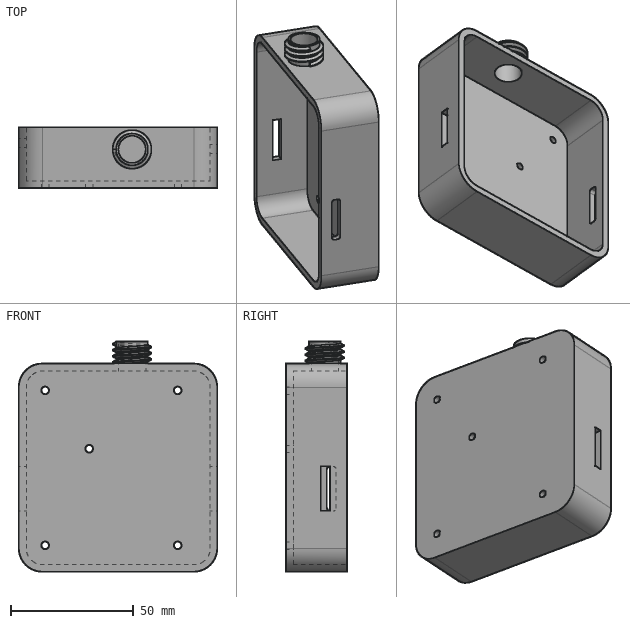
import cadquery as cq

WIDTH = 81.3
DEPTH = 25.0
OVERALL_HEIGHT = 94.3
NECK_HEIGHT = 9.05
BOX_HEIGHT = OVERALL_HEIGHT - NECK_HEIGHT
CORNER_RADIUS = 9.7
WALL = 3.0

HOLE_DIAMETER = 3.0
HOLE_INSET = 10.8
HOLE_SPACING_X = 54.2
HOLE_SPACING_Z = 63.4
EXTRA_HOLE_INSET = 28.85
EXTRA_HOLE_Z = 50.3

SLOT_WIDTH = 3.7
SLOT_BOTTOM = 25.0
SLOT_HEIGHT = 18.2
SLOT_CORNER_RADIUS = 1.2
SLOT_BACK_INSET = 4.5
OPENING_BACK_INSET = 7.1

NECK_X = 5.75
NECK_BACK_INSET = 9.1
NECK_Y = DEPTH - NECK_BACK_INSET
NECK_RADIUS = 6.5
BORE_RADIUS = 5.6
THREAD_RADIUS = 7.9
THREAD_HEIGHT = 7.45
THREAD_TURNS = 3
THREAD_PITCH = THREAD_HEIGHT / THREAD_TURNS
THREAD_ROOT_WIDTH = 2.1
THREAD_CREST_WIDTH = 0.3
THREAD_START = 0.5
THREAD_EMBED = 0.2


def rounded_block(width, depth, height, radius):
    """Block with edges along Y rounded, resting on Z = 0 with its front at Y = 0."""
    block = cq.Workplane("XY").box(width, depth, height, centered=(True, False, False))
    return block.edges("|Y").fillet(radius)


def make_box():
    outer = rounded_block(WIDTH, DEPTH, BOX_HEIGHT, CORNER_RADIUS)
    cavity = rounded_block(WIDTH - 2 * WALL, DEPTH - WALL, BOX_HEIGHT - 2 * WALL, CORNER_RADIUS - WALL)
    return outer.cut(cavity.translate((0, WALL, WALL)))


def make_screw_holes():
    left = HOLE_INSET - WIDTH / 2
    points = [(left + dx, HOLE_INSET + dz) for dx in (0, HOLE_SPACING_X) for dz in (0, HOLE_SPACING_Z)]
    points.append((EXTRA_HOLE_INSET - WIDTH / 2, EXTRA_HOLE_Z))
    holes = cq.Workplane("XZ").pushPoints(points).circle(HOLE_DIAMETER / 2)
    return holes.extrude(-WALL)


def make_side_cutter(wall_x, back_inset):
    """Rectangular cutter through the side wall whose lower-X face is at wall_x."""
    cutter = cq.Workplane("XY").box(WALL, SLOT_WIDTH, SLOT_HEIGHT, centered=False)
    return cutter.translate((wall_x, DEPTH - back_inset - SLOT_WIDTH, SLOT_BOTTOM))


def make_thread():
    """Right-handed ridge that starts and ends on the -X side of the neck."""
    root = NECK_RADIUS - THREAD_EMBED
    half_root = THREAD_ROOT_WIDTH / 2
    half_crest = THREAD_CREST_WIDTH / 2
    helix = cq.Wire.makeHelix(THREAD_PITCH, THREAD_HEIGHT, NECK_RADIUS)
    profile = cq.Workplane("XZ").polyline([
        (root, -half_root),
        (THREAD_RADIUS, -half_crest),
        (THREAD_RADIUS, half_crest),
        (root, half_root),
    ]).close()
    ridge = profile.sweep(cq.Workplane(helix), isFrenet=True)
    ridge = ridge.rotate((0, 0, 0), (0, 0, 1), 180)
    return ridge.translate((NECK_X, NECK_Y, BOX_HEIGHT + THREAD_START))


def make_neck_cylinder(radius):
    """Cylinder on the neck axis from the underside of the top wall to the neck rim."""
    length = WALL + NECK_HEIGHT
    cylinder = cq.Workplane("XY").circle(radius).extrude(length)
    return cylinder.translate((NECK_X, NECK_Y, BOX_HEIGHT - WALL))


left_slot = make_side_cutter(-WIDTH / 2, SLOT_BACK_INSET).edges("|X").fillet(SLOT_CORNER_RADIUS)
right_opening = make_side_cutter(WIDTH / 2 - WALL, OPENING_BACK_INSET)

body = make_box().cut(make_screw_holes()).cut(left_slot).cut(right_opening)
body = body.union(make_neck_cylinder(NECK_RADIUS)).union(make_thread())
result = body.cut(make_neck_cylinder(BORE_RADIUS))